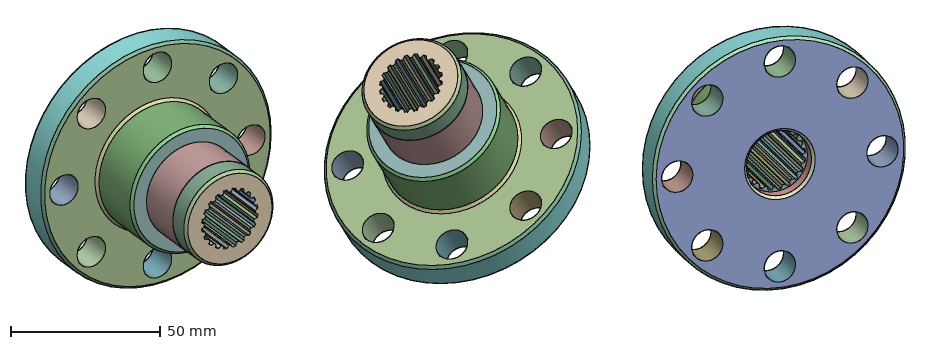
import cadquery as cq
import math

FLANGE_DIAMETER = 90.0
FLANGE_THICKNESS = 12.0
BOLT_HOLE_DIAMETER = 11.1
BOLT_CIRCLE_DIAMETER = 73.0
BOLT_HOLE_COUNT = 8

HUB_DIAMETER = 46.8
HUB_END = 34.0
SHAFT_DIAMETER = 35.0
SHAFT_STEP = 51.0
TIP_DIAMETER = 34.8
OVERALL_LENGTH = 59.0

EDGE_BREAK = 1.0

COUNTERBORE_DIAMETER = 23.1
COUNTERBORE_DEPTH = 5.0
SPLINE_MINOR_DIAMETER = 19.8
SPLINE_MAJOR_DIAMETER = 22.0
SPLINE_TOOTH_COUNT = 20
SPACE_WIDTH_AT_MINOR = 2.25
SPACE_WIDTH_AT_MAJOR = 1.1


def make_body():
    """Revolve the stepped outline about the X axis."""
    flange_radius = FLANGE_DIAMETER / 2
    hub_radius = HUB_DIAMETER / 2
    shaft_radius = SHAFT_DIAMETER / 2
    tip_radius = TIP_DIAMETER / 2
    outline = (
        cq.Workplane("XY")
        .lineTo(0, flange_radius - EDGE_BREAK)
        .lineTo(EDGE_BREAK, flange_radius)
        .lineTo(FLANGE_THICKNESS - EDGE_BREAK, flange_radius)
        .lineTo(FLANGE_THICKNESS, flange_radius - EDGE_BREAK)
        .lineTo(FLANGE_THICKNESS, hub_radius + EDGE_BREAK)
        .lineTo(FLANGE_THICKNESS + EDGE_BREAK, hub_radius)
        .lineTo(HUB_END - EDGE_BREAK, hub_radius)
        .lineTo(HUB_END, hub_radius - EDGE_BREAK)
        .lineTo(HUB_END, shaft_radius)
        .lineTo(SHAFT_STEP, shaft_radius)
        .lineTo(SHAFT_STEP, tip_radius)
        .lineTo(OVERALL_LENGTH - EDGE_BREAK, tip_radius)
        .lineTo(OVERALL_LENGTH, tip_radius - EDGE_BREAK)
        .lineTo(OVERALL_LENGTH, 0)
        .close()
    )
    return outline.revolve(360, (0, 0, 0), (1, 0, 0))


def make_bolt_holes():
    """Ring of through holes in the flange, the first one on the Y axis."""
    return (
        cq.Workplane("YZ")
        .polarArray(BOLT_CIRCLE_DIAMETER / 2, 0, 360, BOLT_HOLE_COUNT)
        .circle(BOLT_HOLE_DIAMETER / 2)
        .extrude(FLANGE_THICKNESS)
    )


def make_counterbore():
    """Round recess in the flange face with a chamfered mouth."""
    radius = COUNTERBORE_DIAMETER / 2
    outline = (
        cq.Workplane("XY")
        .lineTo(0, radius + EDGE_BREAK)
        .lineTo(EDGE_BREAK, radius)
        .lineTo(COUNTERBORE_DEPTH, radius)
        .lineTo(COUNTERBORE_DEPTH, 0)
        .close()
    )
    return outline.revolve(360, (0, 0, 0), (1, 0, 0))


def make_splined_bore():
    """Through bore whose wall is a closed ring of tooth tips and tapering spaces."""
    minor_radius = SPLINE_MINOR_DIAMETER / 2
    major_radius = SPLINE_MAJOR_DIAMETER / 2
    pitch = 2 * math.pi / SPLINE_TOOTH_COUNT
    inner_half_angle = math.asin(SPACE_WIDTH_AT_MINOR / 2 / minor_radius)
    outer_half_angle = math.asin(SPACE_WIDTH_AT_MAJOR / 2 / major_radius)

    def polar(radius, angle):
        return radius * math.cos(angle), radius * math.sin(angle)

    first_space = pitch / 2
    outline = cq.Workplane("YZ").moveTo(*polar(minor_radius, first_space - inner_half_angle))
    for index in range(SPLINE_TOOTH_COUNT):
        space = first_space + index * pitch
        next_tooth = space + pitch / 2
        next_space_start = space + pitch - inner_half_angle
        outline = (
            outline.lineTo(*polar(major_radius, space - outer_half_angle))
            .threePointArc(polar(major_radius, space), polar(major_radius, space + outer_half_angle))
            .lineTo(*polar(minor_radius, space + inner_half_angle))
            .threePointArc(polar(minor_radius, next_tooth), polar(minor_radius, next_space_start))
        )
    return outline.close().extrude(OVERALL_LENGTH)


result = (
    make_body()
    .cut(make_bolt_holes())
    .cut(make_counterbore())
    .cut(make_splined_bore())
)